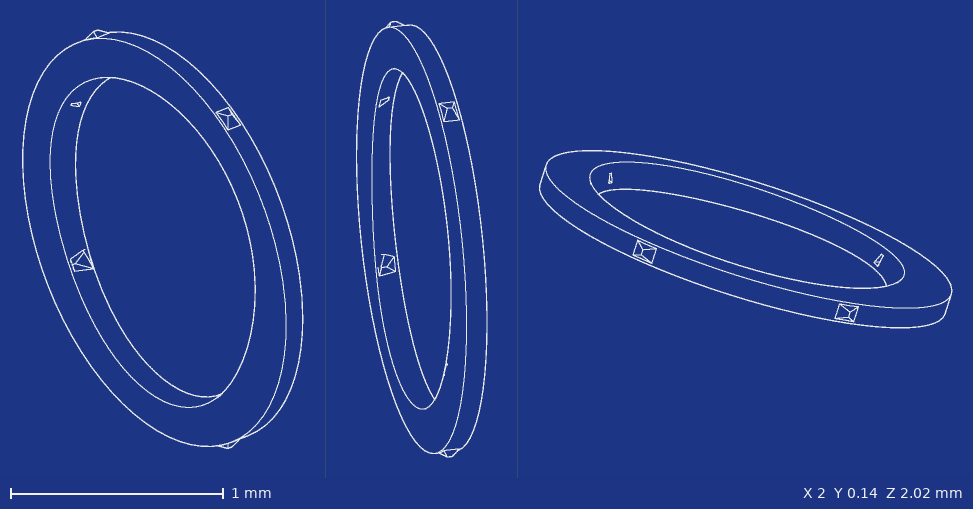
import math

import cadquery as cq

OUTER_HALF_X = 1.0
OUTER_HALF_Z = 1.01
HALF_THICKNESS = 0.05

HOLE_MEAN_RADIUS_FRONT = 0.798
HOLE_MEAN_RADIUS_BACK = 0.766
HOLE_OVALITY_FRONT = 0.0254
HOLE_OVALITY_BACK = 0.0513
HOLE_SHIFT_X = -0.005
HOLE_SHIFT_Z = 0.0145
HOLE_EGG_X = -0.0045
HOLE_EGG_Z = 0.0155

STRONG_BULGE = 0.018
WEAK_BULGE = 0.01
FRONT_BULGE_ANGLE = math.radians(117)

PEAK_X = 0.51
PEAK_Z = 0.90
PEAK_WIDTH = 0.16
PEAK_ROOT_RADIUS = 0.992
NICK_ANGLE = math.radians(33)
NICK_WIDTH = 0.10
NICK_ROOT_RADIUS = 0.73
NICK_TIP_RADIUS = 0.81
WEDGE_RIDGE_LENGTH = 0.025

CURVE_POINTS = 24


def hole_radius(angle, mean_radius, ovality):
    """Radius of a hole edge: an oval, shifted off centre and slightly egg-shaped."""
    shift = HOLE_SHIFT_X * math.cos(angle) + HOLE_SHIFT_Z * math.sin(angle)
    egg = HOLE_EGG_X * math.cos(3 * angle) + HOLE_EGG_Z * math.sin(3 * angle)
    return mean_radius - ovality * math.cos(2 * angle) + shift + egg


def bulge(angle, strong_angle):
    """Swelling of a hole edge, fading to nothing a quarter turn from each peak."""
    alignment = math.cos(angle - strong_angle)
    height = STRONG_BULGE if alignment > 0 else WEAK_BULGE
    return height * alignment**2


def outer_point(angle, y):
    return cq.Vector(OUTER_HALF_X * math.cos(angle), y, OUTER_HALF_Z * math.sin(angle))


def outer_front(angle):
    return outer_point(angle, -HALF_THICKNESS)


def outer_back(angle):
    return outer_point(angle, HALF_THICKNESS)


def hole_front(angle):
    radius = hole_radius(angle, HOLE_MEAN_RADIUS_FRONT, HOLE_OVALITY_FRONT)
    y = -HALF_THICKNESS - bulge(angle, FRONT_BULGE_ANGLE)
    return cq.Vector(radius * math.cos(angle), y, radius * math.sin(angle))


def hole_back(angle):
    radius = hole_radius(angle, HOLE_MEAN_RADIUS_BACK, HOLE_OVALITY_BACK)
    y = HALF_THICKNESS + bulge(angle, FRONT_BULGE_ANGLE + math.pi)
    return cq.Vector(radius * math.cos(angle), y, radius * math.sin(angle))


def closed_curve(point_at):
    """Smooth closed edge through points spaced evenly around the ring."""
    step = 2 * math.pi / CURVE_POINTS
    points = [point_at(i * step) for i in range(CURVE_POINTS)]
    return cq.Edge.makeSpline(points, periodic=True)


def make_ring():
    """Four closed edges joined by ruled faces: front, hole wall, back and rim."""
    edges = [closed_curve(curve) for curve in (outer_front, hole_front, hole_back, outer_back)]
    following_edges = edges[1:] + edges[:1]
    faces = [cq.Face.makeRuledSurface(a, b) for a, b in zip(edges, following_edges)]
    return cq.Workplane(cq.Solid.makeSolid(cq.Shell.makeShell(faces)).fix())


def radial_wedge(angle, root_radius, tip_radius, width):
    """Roof-shaped solid pointing outward, its short ridge running along Y."""
    across = width / 2
    root_y = HALF_THICKNESS
    ridge_y = WEDGE_RIDGE_LENGTH / 2
    root = [
        cq.Vector(root_radius, y, z)
        for y, z in ((-root_y, -across), (root_y, -across), (root_y, across), (-root_y, across))
    ]
    ridge_front = cq.Vector(tip_radius, -ridge_y, 0)
    ridge_back = cq.Vector(tip_radius, ridge_y, 0)
    outlines = [
        root,
        [root[0], root[1], ridge_back, ridge_front],
        [root[2], root[3], ridge_front, ridge_back],
        [root[3], root[0], ridge_front],
        [root[1], root[2], ridge_back],
    ]
    faces = [cq.Face.makeFromWires(cq.Wire.makePolygon(outline, close=True)) for outline in outlines]
    wedge = cq.Solid.makeSolid(cq.Shell.makeShell(faces)).fix()
    return wedge.rotate(cq.Vector(0, 0, 0), cq.Vector(0, -1, 0), math.degrees(angle))


def four_corner_angles(angle):
    """The given angle mirrored into all four quadrants."""
    return [angle, math.pi - angle, math.pi + angle, -angle]


result = make_ring()

peak_tip_radius = math.hypot(PEAK_X, PEAK_Z)
for corner in four_corner_angles(math.atan2(PEAK_Z, PEAK_X)):
    result = result.union(radial_wedge(corner, PEAK_ROOT_RADIUS, peak_tip_radius, PEAK_WIDTH))

for corner in four_corner_angles(NICK_ANGLE):
    result = result.cut(radial_wedge(corner, NICK_ROOT_RADIUS, NICK_TIP_RADIUS, NICK_WIDTH))

result = result.solids()